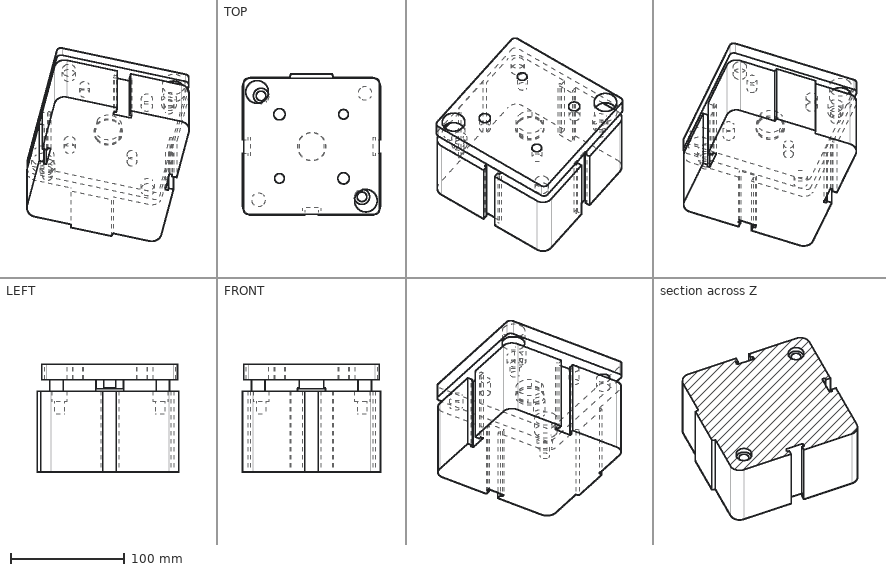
import cadquery as cq
import math


housing_side = 122.0
housing_height = 71.5
housing_corner_radius = 9.0

slot_opening = 12.0
slot_inner_width = 16.0
slot_lip = 4.5
slot_depth = 7.0
slot_face_angles = (-90, 0, 180)

rail_height = 3.0
rail_base_width = 38.4
rail_flank_angle = 15.0

mounting_circle = 126.0
mounting_hole_diameter = 8.5
mounting_hole_depth = 20.0
counterbore_diameter = 13.5
counterbore_depth = 9.0

stroke_gap = 10.0
plate_side = 120.0
plate_thickness = 14.0
plate_corner_radius = 4.0
plate_bottom = housing_height + stroke_gap

access_hole_offset = 48.0
access_hole_diameter = 20.0
fixing_circle = 80.0
dowel_hole_diameter = 10.0
screw_hole_diameter = 8.5

rod_diameter = 24.5
collar_diameter = 25.0
collar_height = 2.0
flat_spacing = 22.0
flat_height = 7.0
pillar_diameter = 12.0
pillar_offset = 47.0


def diagonal_pair(offset, falling):
    """Two opposite points at (+-offset, +-offset); a falling pair lies in the -X+Y and +X-Y quadrants."""
    sign = -1 if falling else 1
    return [(offset, sign * offset), (-offset, -sign * offset)]


def circle_offset(diameter):
    """X and Y distance from the centre of a point at 45 degrees on a circle."""
    return diameter / 2 * math.sqrt(0.5)


def square_block(side, height, corner_radius):
    block = cq.Workplane("XY").rect(side, side).extrude(height)
    return block.edges("|Z").fillet(corner_radius)


def slot_cutter(face_angle):
    """T-slot for the +X face, turned about Z to the wanted face."""
    half_side = housing_side / 2
    opening = cq.Workplane("XY").box(
        slot_depth, slot_opening, housing_height, centered=(False, True, False)
    )
    undercut = cq.Workplane("XY").box(
        slot_depth - slot_lip, slot_inner_width, housing_height, centered=(False, True, False)
    )
    cutter = opening.union(undercut).translate((half_side - slot_depth, 0, 0))
    return cutter.rotate((0, 0, 0), (0, 0, 1), face_angle)


def rail():
    base_y = housing_side / 2
    top_y = base_y + rail_height
    half_base = rail_base_width / 2
    half_top = half_base - rail_height * math.tan(math.radians(rail_flank_angle))
    outline = [(-half_base, base_y), (half_base, base_y), (half_top, top_y), (-half_top, top_y)]
    return cq.Workplane("XY").polyline(outline).close().extrude(housing_height)


def make_housing():
    body = square_block(housing_side, housing_height, housing_corner_radius).union(rail())
    for face_angle in slot_face_angles:
        body = body.cut(slot_cutter(face_angle))
    return (
        body.faces(">Z")
        .workplane(origin=(0, 0, housing_height))
        .pushPoints(diagonal_pair(circle_offset(mounting_circle), falling=True))
        .cboreHole(mounting_hole_diameter, counterbore_diameter, counterbore_depth, mounting_hole_depth)
    )


def make_plate():
    plate = square_block(plate_side, plate_thickness, plate_corner_radius)
    fixing_offset = circle_offset(fixing_circle)
    hole_pairs = [
        (access_hole_diameter, diagonal_pair(access_hole_offset, falling=True)),
        (dowel_hole_diameter, diagonal_pair(fixing_offset, falling=True)),
        (screw_hole_diameter, diagonal_pair(fixing_offset, falling=False)),
    ]
    for diameter, points in hole_pairs:
        holes = cq.Workplane("XY").pushPoints(points).circle(diameter / 2).extrude(plate_thickness)
        plate = plate.cut(holes)
    return plate.translate((0, 0, plate_bottom))


def make_rod():
    """Round rod with a collar at its foot and two wrench flats facing -X and +X under the plate."""
    rod = cq.Workplane("XY").circle(rod_diameter / 2).extrude(stroke_gap)
    flat_zone = (
        cq.Workplane("XY")
        .workplane(offset=stroke_gap - flat_height)
        .rect(2 * rod_diameter, 2 * rod_diameter)
        .rect(flat_spacing, 2 * rod_diameter)
        .extrude(flat_height)
    )
    collar = cq.Workplane("XY").circle(collar_diameter / 2).extrude(collar_height)
    return rod.cut(flat_zone).union(collar).translate((0, 0, housing_height))


def make_pillars():
    return (
        cq.Workplane("XY")
        .workplane(offset=housing_height)
        .pushPoints(diagonal_pair(pillar_offset, falling=False))
        .circle(pillar_diameter / 2)
        .extrude(stroke_gap)
    )


housing = make_housing()
plunger = make_plate().union(make_rod()).union(make_pillars())

result = cq.Compound.makeCompound([housing.solids().val(), plunger.solids().val()])